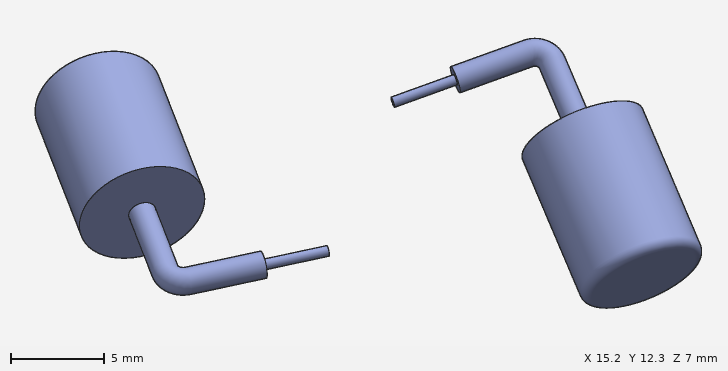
import cadquery as cq

overall_length = 15.2
body_diameter = 7.0
body_length = 9.0
body_edge_radius = 0.5

sleeve_diameter = 1.5
bend_radius = 1.0
sleeve_end_length = 4.2
wire_diameter = 0.6
wire_length = 3.6

sleeve_axis_x = overall_length - sleeve_diameter / 2
bend_start_x = sleeve_axis_x - bend_radius
sleeve_end_y = bend_radius + sleeve_end_length


def make_body():
    """Cylinder with its closed front edge rounded."""
    cylinder = cq.Workplane("YZ").circle(body_diameter / 2).extrude(body_length)
    return cylinder.faces("<X").edges().fillet(body_edge_radius)


def make_sleeve():
    """Round sleeve leaving the body along X and turning towards +Y."""
    path = (
        cq.Workplane("XY")
        .moveTo(body_length, 0)
        .lineTo(bend_start_x, 0)
        .radiusArc((sleeve_axis_x, bend_radius), -bend_radius)
        .lineTo(sleeve_axis_x, sleeve_end_y)
    )
    profile = cq.Workplane("YZ", origin=(body_length, 0, 0)).circle(sleeve_diameter / 2)
    return profile.sweep(path)


def make_wire():
    """Bare wire continuing from the end of the sleeve."""
    end_plane = cq.Plane(origin=(sleeve_axis_x, sleeve_end_y, 0), xDir=(1, 0, 0), normal=(0, 1, 0))
    return cq.Workplane(end_plane).circle(wire_diameter / 2).extrude(wire_length)


result = make_body().union(make_sleeve()).union(make_wire())